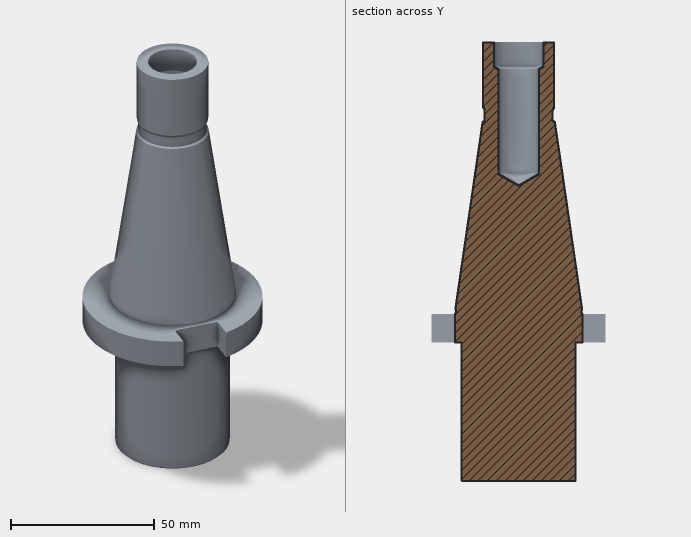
import cadquery as cq
import math

total_height = 153.4
shank_height = 48.5
flange_thickness = 10.0
collar_height = 1.5
taper_top = 126.0
nose_length = 23.6

shank_diameter = 40.0
flange_diameter = 62.9
collar_diameter = 44.0
gauge_diameter = 44.5
neck_diameter = 24.0
nose_diameter = 25.0

taper_rate = 7 / 24
shank_chamfer = 0.5

collar_foot_width = 0.3
collar_foot_height = 0.5
taper_edge_height = 0.5
nose_edge_height = 0.9

slot_width = 16.1
slot_floor_distance = 22.4

counterbore_diameter = 17.0
counterbore_depth = 8.6
bore_diameter = 14.0
bore_depth = 46.0
drill_point_angle = 120.0

flange_top = shank_height + flange_thickness
gauge_height = flange_top + collar_height
nose_bottom = total_height - nose_length
taper_edge = taper_top - taper_edge_height
taper_edge_diameter = gauge_diameter - taper_rate * (taper_edge - gauge_height)


def revolve_profile(points):
    """Revolve a closed (radius, height) outline about the Z axis."""
    return cq.Workplane("XZ").polyline(points).close().revolve(360, (0, 0), (0, 1))


def cone_depth(diameter):
    """Height of a drill-point cone with the given base diameter."""
    return diameter / 2 / math.tan(math.radians(drill_point_angle / 2))


def make_body():
    shank_radius = shank_diameter / 2
    return revolve_profile([
        (0, 0),
        (shank_radius - shank_chamfer, 0),
        (shank_radius, shank_chamfer),
        (shank_radius, shank_height),
        (flange_diameter / 2, shank_height),
        (flange_diameter / 2, flange_top),
        (collar_diameter / 2 + collar_foot_width, flange_top),
        (collar_diameter / 2, flange_top + collar_foot_height),
        (collar_diameter / 2, gauge_height),
        (gauge_diameter / 2, gauge_height),
        (taper_edge_diameter / 2, taper_edge),
        (neck_diameter / 2, taper_top),
        (neck_diameter / 2, nose_bottom),
        (nose_diameter / 2, nose_bottom + nose_edge_height),
        (nose_diameter / 2, total_height),
        (0, total_height),
    ])


def make_hole():
    counterbore_floor = total_height - counterbore_depth
    step_depth = cone_depth(counterbore_diameter) - cone_depth(bore_diameter)
    bore_floor = total_height - bore_depth
    return revolve_profile([
        (0, total_height),
        (counterbore_diameter / 2, total_height),
        (counterbore_diameter / 2, counterbore_floor),
        (bore_diameter / 2, counterbore_floor - step_depth),
        (bore_diameter / 2, bore_floor),
        (0, bore_floor - cone_depth(bore_diameter)),
    ])


def make_slot(side):
    """Box removed from the flange on the +X (side = 1) or -X (side = -1) side."""
    slot_length = flange_diameter / 2
    slot_center = slot_floor_distance + slot_length / 2
    return (
        cq.Workplane("XY", origin=(side * slot_center, 0, shank_height))
        .rect(slot_length, slot_width)
        .extrude(flange_thickness)
    )


result = make_body().cut(make_hole())
for side in (-1, 1):
    result = result.cut(make_slot(side))